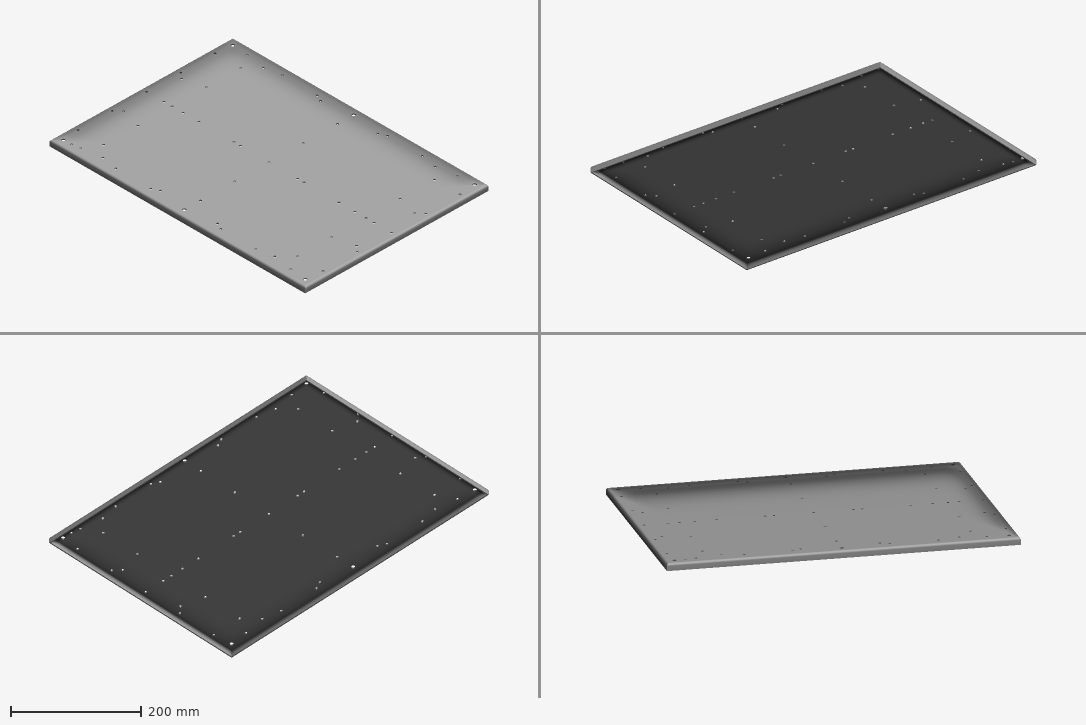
import cadquery as cq

length = 559.0
width = 395.0
height = 12.0
sheet = 2.0
bend_radius = 4.0

large_hole = 6.5
small_hole = 4.5

large_hole_inset = 15.0
outer_pitch = 76.5
outer_row_y = 179.5
inner_pitch = 62.5
inner_row_y = 173.0
column_pitch = 74.0
column_x = (0.0, 212.0, 268.0)
side_hole_x = 255.0
side_hole_y = 62.5
corner_hole = (-247.0, -181.5)


def bent_block(block_length, block_width, radius, top):
    """A block of the tray's height whose four top edges are rounded."""
    block = cq.Workplane("XY").box(block_length, block_width, height)
    rounded = block.faces(">Z").edges().fillet(radius)
    return rounded.translate((0, 0, top - height / 2))


def make_tray():
    outside = bent_block(length, width, bend_radius, height)
    inside = bent_block(length - 2 * sheet, width - 2 * sheet, bend_radius - sheet, height - sheet)
    return outside.cut(inside)


def mirrored(x, y):
    """The point and its mirror images about both centre lines, each once."""
    return sorted({(side_x * x, side_y * y) for side_x in (1, -1) for side_y in (1, -1)})


def large_hole_points():
    """The four corners and the middles of the two long edges."""
    y = width / 2 - large_hole_inset
    return mirrored(length / 2 - large_hole_inset, y) + mirrored(0.0, y)


def small_hole_points():
    points = [corner_hole]
    for row_y in (outer_row_y, 0.0):
        for step in (1, 2, 3):
            points += mirrored(step * outer_pitch, row_y)
    for row_y in (inner_row_y, 0.0):
        for step in (1, 3):
            points += mirrored(step * inner_pitch, row_y)
    for x in column_x:
        for step in (0, 1, 2):
            points += mirrored(x, step * column_pitch)
    points += mirrored(side_hole_x, side_hole_y)
    return points


def drills(points, diameter):
    return cq.Workplane("XY").pushPoints(points).circle(diameter / 2).extrude(height)


result = (
    make_tray()
    .cut(drills(large_hole_points(), large_hole))
    .cut(drills(small_hole_points(), small_hole))
)